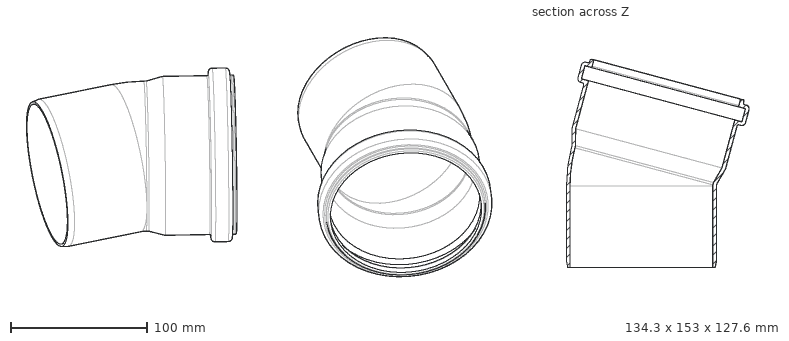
import cadquery as cq

bend_angle = 15.0

spigot_radius = 110.3 / 2
spigot_bore = 104.65 / 2
spigot_length = 60.0
tip_chamfer_depth = 1.0
tip_chamfer_length = 4.75
bend_radius = spigot_radius

socket_radius = 116.8 / 2
socket_bore = 111.0 / 2
neck_length = 1.7
cone_end = 13.7

bead_radius = 127.6 / 2
groove_radius = 121.8 / 2
bead_wall = bead_radius - groove_radius
bead_start = 47.3
bead_end = 62.93
bead_fillet = 3.0
groove_start = bead_start + bead_wall
groove_end = bead_end - bead_wall

lip_radius = 117.1 / 2
lip_bore = 111.3 / 2
lip_end = 66.09
edge_fillet = 1.05


def turned(stations):
    """Solid turned about the Y axis from (radius, Y) stations."""
    bottom = (0, stations[0][1])
    top = (0, stations[-1][1])
    profile = cq.Workplane("XY").polyline([bottom] + stations + [top]).close()
    return profile.revolve(360, (0, 0, 0), (0, 1, 0))


def round_circles(body, circles, size):
    """Fillet the circular edges of a turned body given as (radius, Y) pairs."""
    tolerance = 0.01
    edges = [
        edge
        for edge in body.edges("%CIRCLE").vals()
        for radius, y in circles
        if abs(edge.radius() - radius) < tolerance and abs(edge.Center().y - y) < tolerance
    ]
    return body.newObject(edges).fillet(size)


def bend(radius):
    """Curved round bar that carries on from the end of the spigot."""
    section = cq.Workplane("XZ", origin=(0, spigot_length, 0)).circle(radius)
    axis_top = (bend_radius, 1)
    axis_bottom = (bend_radius, 0)
    return section.revolve(bend_angle, axis_top, axis_bottom)


def place_after_bend(body):
    """Move a body built upwards from Y = 0 onto the end of the bend."""
    pivot = (bend_radius, spigot_length, 0)
    pivot_top = (bend_radius, spigot_length, 1)
    return body.translate((0, spigot_length, 0)).rotate(pivot, pivot_top, -bend_angle)


def spigot_outside():
    return turned([
        (spigot_radius - tip_chamfer_depth, 0),
        (spigot_radius, tip_chamfer_length),
        (spigot_radius, spigot_length),
    ])


def spigot_inside():
    return turned([(spigot_bore, 0), (spigot_bore, spigot_length)])


def socket_outside():
    body = turned([
        (spigot_radius, 0),
        (spigot_radius, neck_length),
        (socket_radius, cone_end),
        (socket_radius, bead_start),
        (bead_radius, bead_start),
        (bead_radius, bead_end),
        (lip_radius, bead_end),
        (lip_radius, lip_end),
    ])
    bead_corners = [(bead_radius, bead_start), (bead_radius, bead_end)]
    bead_roots = [(socket_radius, bead_start), (lip_radius, bead_end)]
    mouth_rim = [(lip_radius, lip_end)]
    body = round_circles(body, bead_corners, bead_fillet)
    return round_circles(body, bead_roots + mouth_rim, edge_fillet)


def socket_inside():
    body = turned([
        (spigot_bore, 0),
        (spigot_bore, neck_length),
        (socket_bore, cone_end),
        (socket_bore, groove_start),
        (groove_radius, groove_start),
        (groove_radius, groove_end),
        (lip_bore, groove_end),
        (lip_bore, lip_end),
    ])
    return round_circles(body, [(lip_bore, groove_end)], edge_fillet)


outside = spigot_outside().union(bend(spigot_radius)).union(place_after_bend(socket_outside()))
inside = spigot_inside().union(bend(spigot_bore)).union(place_after_bend(socket_inside()))
result = outside.cut(inside)